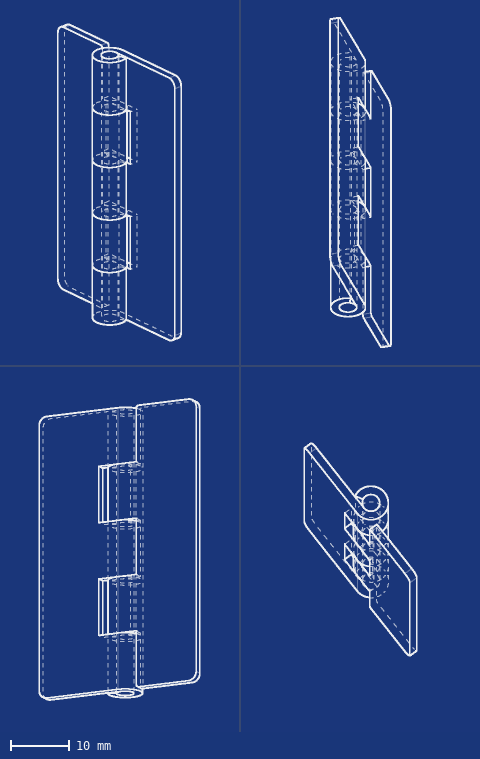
import cadquery as cq
import math

HINGE_LENGTH = 50.0
HINGE_WIDTH = 30.0
KNUCKLE_COUNT = 5
SHEET_THICKNESS = 1.5
PIN_RADIUS = 1.5
OUTER_CORNER_RADIUS = 1.5
INNER_CORNER_RADIUS = 0.5
NOTCH_CLEARANCE = 0.55
CURL_END_ANGLE = 28.0

KNUCKLE_RADIUS = PIN_RADIUS + SHEET_THICKNESS
KNUCKLE_LENGTH = HINGE_LENGTH / KNUCKLE_COUNT
HALF_WIDTH = HINGE_WIDTH / 2
PLATE_INNER_EDGE = KNUCKLE_RADIUS + NOTCH_CLEARANCE


def polar(radius, degrees):
    """Point at a radius and angle around the pin axis."""
    angle = math.radians(degrees)
    return (radius * math.cos(angle), radius * math.sin(angle))


def make_plate(inner_radius):
    """Flat plate on the +X side, with its long edges' end corners rounded."""
    width = HALF_WIDTH - PLATE_INNER_EDGE
    plate = cq.Workplane("XY").box(width, SHEET_THICKNESS, HINGE_LENGTH, centered=False)
    plate = plate.translate((PLATE_INNER_EDGE, PIN_RADIUS, 0))
    plate = plate.edges("|Y and >X").fillet(OUTER_CORNER_RADIUS)
    if inner_radius > 0:
        plate = plate.edges("|Y and <X").fillet(inner_radius)
    return plate


def make_knuckle(index):
    """Sheet strip leaving the plate and rolled around the pin, ending in a radial cut."""
    mid_angle = (90 + 360 + CURL_END_ANGLE) / 2
    return (
        cq.Workplane("XY")
        .workplane(offset=index * KNUCKLE_LENGTH)
        .moveTo(PLATE_INNER_EDGE, KNUCKLE_RADIUS)
        .lineTo(0, KNUCKLE_RADIUS)
        .threePointArc(polar(KNUCKLE_RADIUS, mid_angle), polar(KNUCKLE_RADIUS, CURL_END_ANGLE))
        .lineTo(*polar(PIN_RADIUS, CURL_END_ANGLE))
        .threePointArc(polar(PIN_RADIUS, mid_angle), (0, PIN_RADIUS))
        .lineTo(PLATE_INNER_EDGE, PIN_RADIUS)
        .close()
        .extrude(KNUCKLE_LENGTH)
    )


def make_leaf(knuckle_indices, inner_radius=0):
    """One hinge leaf on the +X side: a plate joined to its knuckles."""
    leaf = make_plate(inner_radius)
    for index in knuckle_indices:
        leaf = leaf.union(make_knuckle(index))
    return leaf


def make_pin():
    """Plain pin, flush with both ends of the hinge."""
    return cq.Workplane("XY").circle(PIN_RADIUS).extrude(HINGE_LENGTH)


right_leaf = make_leaf(range(0, KNUCKLE_COUNT, 2))
left_leaf = make_leaf(range(1, KNUCKLE_COUNT, 2), INNER_CORNER_RADIUS).mirror("YZ")
pin = make_pin()

result = cq.Compound.makeCompound([right_leaf.val(), left_leaf.val(), pin.val()])